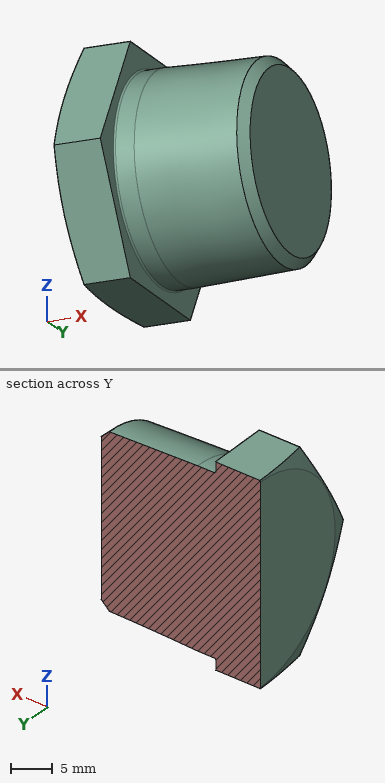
import cadquery as cq
import math

across_corners = 34.65
total_length = 24.0

head_thickness = 6.8
head_face_diameter = 29.55
head_chamfer_angle = 15.0

collar_diameter = 26.75
collar_length = 2.65
taper_ratio = 1 / 16
tip_chamfer = 1.2
root_fillet = 0.2

corner_radius = across_corners / 2
collar_end = head_thickness + collar_length
chamfer_start = total_length - tip_chamfer
shank_end_diameter = collar_diameter - taper_ratio * (chamfer_start - collar_end)


def hexagon_head():
    """Hexagon prism with corners on Y, its outer face turned down by a shallow cone."""
    prism = cq.Workplane("YZ").polygon(6, across_corners).extrude(head_thickness)
    face_radius = head_face_diameter / 2
    corner_drop = (corner_radius - face_radius) * math.tan(math.radians(head_chamfer_angle))
    envelope = (
        cq.Workplane("XZ")
        .moveTo(0, 0)
        .lineTo(0, face_radius)
        .lineTo(corner_drop, corner_radius)
        .lineTo(head_thickness, corner_radius)
        .lineTo(head_thickness, 0)
        .close()
        .revolve(360, (0, 0, 0), (1, 0, 0))
    )
    return prism.intersect(envelope)


def shank():
    """Solid of revolution: small concave root fillet, collar, taper and end chamfer."""
    collar_radius = collar_diameter / 2
    end_radius = shank_end_diameter / 2
    return (
        cq.Workplane("XZ")
        .moveTo(head_thickness, 0)
        .lineTo(head_thickness, collar_radius + root_fillet)
        .radiusArc((head_thickness + root_fillet, collar_radius), -root_fillet)
        .lineTo(collar_end, collar_radius)
        .lineTo(chamfer_start, end_radius)
        .lineTo(total_length, end_radius - tip_chamfer)
        .lineTo(total_length, 0)
        .close()
        .revolve(360, (0, 0, 0), (1, 0, 0))
    )


result = hexagon_head().union(shank())